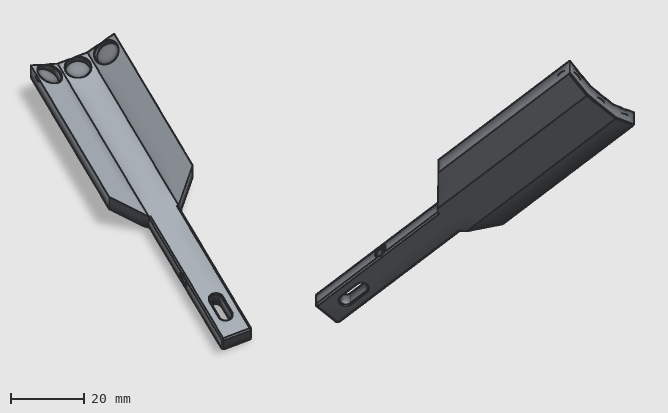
import cadquery as cq
import math

length = 105.0
overall_width = 25.27
overall_height = 8.85
thickness = 5.0
center_width = 9.0

wing_length = 50.0

handle_chamfer = 0.5
tip_chamfer = 0.3
hole_chamfer = 0.35
flare_angle = 45
pocket_chamfer = 0.2

pocket_diameter = 7.0
pocket_depth = 1.9
pocket_tip_wall = 0.02

cross_hole_diameter = 3.4
cross_hole_x = 80.0
slot_width = 3.4
slot_length = 9.4
slot_x = 94.5

half_width = overall_width / 2
half_center = center_width / 2
wing_span = half_width - half_center
wing_rise = overall_height - thickness
wing_angle = math.atan2(wing_rise, wing_span)
wing_edge_bottom = overall_height - thickness / math.cos(wing_angle)
half_bottom = half_center + thickness * math.tan(wing_angle / 2)
handle_start = wing_length + wing_span


def trough():
    """Extrude the bent cross-section from the tip and break its underside tip edges."""
    section = [
        (-half_width, overall_height),
        (-half_center, thickness),
        (half_center, thickness),
        (half_width, overall_height),
        (half_width, wing_edge_bottom),
        (half_bottom, 0),
        (-half_bottom, 0),
        (-half_width, wing_edge_bottom),
    ]
    body = cq.Workplane("YZ").polyline(section).close().extrude(handle_start)
    underside = cq.selectors.BoxSelector(
        (-tip_chamfer, -half_width + tip_chamfer, -tip_chamfer),
        (tip_chamfer, half_width - tip_chamfer, thickness / 2),
    )
    return body.edges(underside).chamfer(tip_chamfer)


def plan_prism():
    """Tall prism with the tapered plan outline of the trough."""
    outline = [
        (0, -half_width),
        (wing_length, -half_width),
        (handle_start, -half_center),
        (handle_start, half_center),
        (wing_length, half_width),
        (0, half_width),
    ]
    return cq.Workplane("XY").polyline(outline).close().extrude(overall_height)


def handle():
    """Rectangular bar with its long edges and its end broken all round."""
    bar = cq.Workplane("XY").box(
        length - handle_start, center_width, thickness, centered=(False, True, False)
    )
    bar = bar.edges("|X or >X").chamfer(handle_chamfer)
    return bar.translate((handle_start, 0, 0))


def pocket_cutter(y, z, tilt):
    """Flat-bottomed round pocket with a countersunk rim, sunk square to a panel."""
    radius = pocket_diameter / 2
    rim_radius = radius + pocket_chamfer
    profile = [
        (0, -pocket_depth),
        (radius, -pocket_depth),
        (radius, -pocket_chamfer),
        (rim_radius, 0),
        (rim_radius, thickness),
        (0, thickness),
    ]
    cutter = cq.Workplane("XZ").polyline(profile).close().revolve(360, (0, 0), (0, 1))
    cutter = cutter.rotate((0, 0, 0), (1, 0, 0), math.degrees(tilt))
    return cutter.translate((radius + pocket_tip_wall, y, z))


def cut_pockets(body):
    """One pocket centred on each panel, leaving a paper-thin wall at the tip face."""
    wing_mid_y = half_center + wing_span / 2
    wing_mid_z = thickness + wing_rise / 2
    body = body.cut(pocket_cutter(0, thickness, 0))
    for side in (-1, 1):
        body = body.cut(pocket_cutter(side * wing_mid_y, wing_mid_z, side * wing_angle))
    return body


def slot_prism(size, width, depth, taper=0):
    """Slot-shaped prism from z = 0 up, narrowing by the taper angle."""
    return cq.Workplane("XY").slot2D(size, width).extrude(depth, taper=taper)


def through_slot(span, width, depth):
    """Vertical slot cutter, from z = 0 to depth, flared at both mouths."""
    flare = 2 * hole_chamfer
    mouth = slot_prism(span + flare, width + flare, hole_chamfer, taper=flare_angle)
    top_mouth = mouth.mirror("XY").translate((0, 0, depth))
    return slot_prism(span, width, depth).union(mouth).union(top_mouth)


def through_hole(diameter, depth):
    """Vertical round cutter, from z = 0 to depth, flared at both mouths."""
    radius = diameter / 2
    mouth_radius = radius + hole_chamfer
    profile = [
        (0, 0),
        (mouth_radius, 0),
        (radius, hole_chamfer),
        (radius, depth - hole_chamfer),
        (mouth_radius, depth),
        (0, depth),
    ]
    return cq.Workplane("XZ").polyline(profile).close().revolve(360, (0, 0), (0, 1))


def cut_handle_holes(body):
    """Cross hole along Y and adjusting slot along Z."""
    cross_hole = through_hole(cross_hole_diameter, center_width)
    cross_hole = cross_hole.rotate((0, 0, 0), (1, 0, 0), 90)
    cross_hole = cross_hole.translate((cross_hole_x, half_center, thickness / 2))
    slot = through_slot(slot_length, slot_width, thickness).translate((slot_x, 0, 0))
    return body.cut(cross_hole).cut(slot)


blade = trough().intersect(plan_prism())
result = cut_handle_holes(cut_pockets(blade.union(handle())))